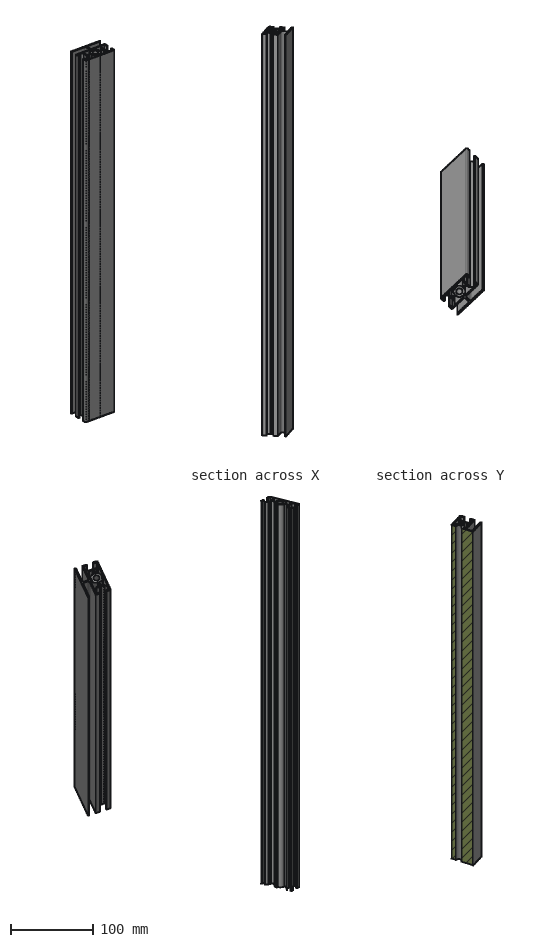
import cadquery as cq

length = 500.0
width = 30.0
depth = 45.0

plate_thickness = 2.0
plate_chamfer = 1.0
web_thickness = 2.0
plate_fillet = 1.0
body_fillet = 2.0

body_width = 20.0
body_corner_radius = 1.5
wall = 1.5
lip_thickness = 2.0
slot_opening = 8.0
lip_chamfer = 0.5
slot_depth = 9.0
slot_corner = 3.25
floor_thickness = 1.5
cavity_corner = 4.0
groove_width = 2.0
groove_depth = 0.5
stem_thickness = 2.0

boss_size = 13.0
boss_corner_radius = 4.5
hole_diameter = 7.5
bridge_thickness = 2.0

body_left = width - body_width
body_center = width - body_width / 2
inner_half_width = body_width / 2 - wall
slot_floor = depth / 2 - slot_depth
cavity_top = slot_floor - floor_thickness
lip_inside = depth / 2 - lip_thickness


def bar(x_start, x_end, y_size):
    """Full-length bar between two X positions, centered on Y = 0."""
    x_size = x_end - x_start
    return cq.Workplane("XY").center(x_start + x_size / 2, 0).rect(x_size, y_size).extrude(length)


def symmetric_prism(half_outline):
    """Full-length prism that is mirror-symmetric about the body's middle plane."""
    other_half = [(-x, y) for x, y in reversed(half_outline) if x > 0]
    return cq.Workplane("XY").center(body_center, 0).polyline(half_outline + other_half).close().extrude(length)


def t_slot():
    """Slot open to the +Y side, with chamfered mouth, sloped corners and a grooved floor."""
    half_opening = slot_opening / 2
    return symmetric_prism([
        (half_opening + lip_chamfer, depth / 2),
        (half_opening, depth / 2 - lip_chamfer),
        (half_opening, lip_inside),
        (inner_half_width, lip_inside),
        (inner_half_width, slot_floor + slot_corner),
        (inner_half_width - slot_corner, slot_floor),
        (groove_width / 2, slot_floor),
        (0, slot_floor - groove_depth),
    ])


def cavity():
    """Hollow between the slot floor and the middle plane; its upper corners follow the slot corners."""
    return symmetric_prism([
        (inner_half_width, 0),
        (inner_half_width, cavity_top + cavity_corner),
        (inner_half_width - cavity_corner, cavity_top),
    ])


def body():
    """Box section with a slot at each end; a stem and a bridge cross at the screw boss."""
    section = bar(body_left, width, depth).edges("|Z and >X").fillet(body_corner_radius)
    for pocket in (t_slot(), cavity()):
        section = section.cut(pocket).cut(pocket.mirror("XZ"))
    stem = bar(body_center - stem_thickness / 2, body_center + stem_thickness / 2, 2 * cavity_top)
    bridge = bar(body_left, width, bridge_thickness)
    boss = bar(body_center - boss_size / 2, body_center + boss_size / 2, boss_size)
    boss = boss.edges("|Z").fillet(boss_corner_radius)
    screw_hole = cq.Workplane("XY").center(body_center, 0).circle(hole_diameter / 2).extrude(length)
    return section.union(stem).union(bridge).union(boss).cut(screw_hole)


def cover_plate():
    """Plate with its two inner edges chamfered."""
    return bar(0, plate_thickness, depth).edges("|Z and >X").chamfer(plate_chamfer)


def web():
    """Web between plate and body, flared by a round fillet at each end."""
    half = web_thickness / 2
    plate_tangent = plate_thickness + plate_fillet
    body_tangent = body_left - body_fillet
    side = (
        cq.Workplane("XY")
        .moveTo(plate_thickness, 0)
        .lineTo(plate_thickness, half + plate_fillet)
        .radiusArc((plate_tangent, half), -plate_fillet)
        .lineTo(body_tangent, half)
        .radiusArc((body_left, half + body_fillet), -body_fillet)
        .lineTo(body_left, 0)
        .close()
        .extrude(length)
    )
    return side.union(side.mirror("XZ"))


result = cover_plate().union(web()).union(body())